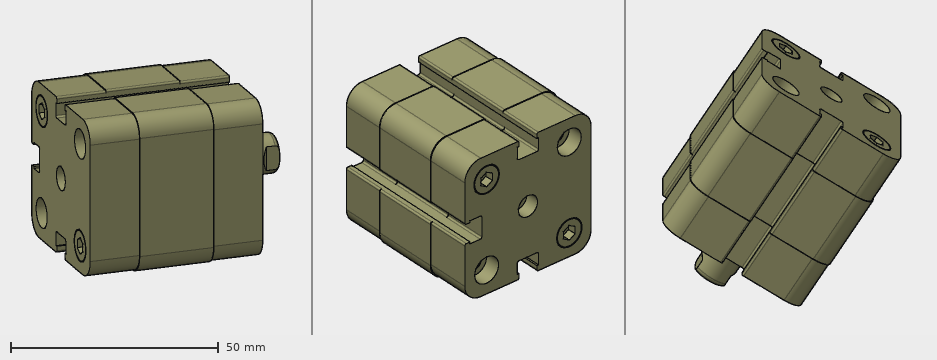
import cadquery as cq

TOTAL_LENGTH = 55.0
BODY_LENGTH = 44.55
CAP_LENGTH = 12.7
BARREL_LENGTH = BODY_LENGTH - 2 * CAP_LENGTH

BARREL_SIDE = 40.1
CAP_INSET = 0.2
CAP_SIDE = BARREL_SIDE - 2 * CAP_INSET
CORNER_RADIUS = 5.0

SLOT_MOUTH_WIDTH = 5.55
SLOT_INNER_WIDTH = 6.6
CAP_SLOT_DEPTH = 5.55
BARREL_SLOT_DEPTH = 5.65
LIP_THICKNESS = 1.85
LIP_RADIUS = 0.5
SLOT_FLOOR_RADIUS = 0.5
SLOT_ANGLES = (0, 90, 180)

BOLT_OFFSET = 13.0
COUNTERBORE_DIAMETER = 7.5
COUNTERBORE_DEPTH = 4.5
THROUGH_DIAMETER = 4.1
SCREW_HEAD_DIAMETER = 7.5
SCREW_RECESS_DIAMETER = 8.0
SCREW_RECESS_DEPTH = 4.0
HEX_SIDES = 6
HEX_CORNER_DIAMETER = 4.2
HEX_DEPTH = 2.5
HEX_TURN = 30
CENTRE_HOLE_DIAMETER = 6.0
CENTRE_HOLE_DEPTH = 4.0

ROD_DIAMETER = 10.0
ROD_LENGTH = TOTAL_LENGTH - BODY_LENGTH
ROD_TIP_RADIUS = 1.25
FLATS_WIDTH = 8.0
FLATS_LENGTH = 3.5


def plane_at(y):
    """XZ workplane at the given Y; a negative extrusion runs toward +Y."""
    return cq.Workplane("XZ", origin=(0, y, 0))


def slot_cutter(side, depth, y_start, length):
    """T-slot void in the top side of a section, with its mouth rounded outward."""
    top = side / 2
    floor = BARREL_SIDE / 2 - depth
    lip = BARREL_SIDE / 2 - LIP_THICKNESS
    half_mouth = SLOT_MOUTH_WIDTH / 2
    wide_part = (
        plane_at(y_start)
        .center(0, (floor + lip) / 2)
        .rect(SLOT_INNER_WIDTH, lip - floor)
        .extrude(-length)
        .edges("|Y and <Z")
        .fillet(SLOT_FLOOR_RADIUS)
    )
    mouth = (
        plane_at(y_start)
        .moveTo(-half_mouth, lip)
        .lineTo(half_mouth, lip)
        .lineTo(half_mouth, top - LIP_RADIUS)
        .radiusArc((half_mouth + LIP_RADIUS, top), LIP_RADIUS)
        .lineTo(-half_mouth - LIP_RADIUS, top)
        .radiusArc((-half_mouth, top - LIP_RADIUS), LIP_RADIUS)
        .close()
        .extrude(-length)
    )
    return wide_part.union(mouth)


def body_section(side, slot_depth, y_start, length):
    """Rounded square block with a T-slot in each slotted side."""
    block = plane_at(y_start).rect(side, side).extrude(-length).edges("|Y").fillet(CORNER_RADIUS)
    slot = slot_cutter(side, slot_depth, y_start, length)
    for angle in SLOT_ANGLES:
        block = block.cut(slot.rotate((0, 0, 0), (0, -1, 0), angle))
    return block


def piston_rod():
    """Rod with a rounded tip and two wrench flats that run out at 45 degrees."""
    rod = (
        plane_at(BODY_LENGTH)
        .circle(ROD_DIAMETER / 2)
        .extrude(-ROD_LENGTH)
        .faces(">Y")
        .edges()
        .fillet(ROD_TIP_RADIUS)
    )
    half_width = FLATS_WIDTH / 2
    flats_start = TOTAL_LENGTH - FLATS_LENGTH
    run_out = ROD_DIAMETER / 2 - half_width
    flat_cutter = (
        cq.Workplane("XY")
        .moveTo(half_width, TOTAL_LENGTH)
        .lineTo(half_width, flats_start)
        .lineTo(half_width + run_out, flats_start - run_out)
        .lineTo(half_width + run_out, TOTAL_LENGTH)
        .close()
        .extrude(ROD_DIAMETER / 2, both=True)
    )
    return rod.cut(flat_cutter).cut(flat_cutter.mirror("YZ"))


def front_holes(points, diameter, depth):
    """Round holes of the given depth, sunk from the front face."""
    return plane_at(0).pushPoints(points).circle(diameter / 2).extrude(-depth)


def screw_cuts(points):
    """Ring gaps around flush screw heads, plus their hexagon sockets."""
    cuts = (
        plane_at(0)
        .pushPoints(points)
        .circle(SCREW_RECESS_DIAMETER / 2)
        .circle(SCREW_HEAD_DIAMETER / 2)
        .extrude(-SCREW_RECESS_DEPTH)
    )
    for x, z in points:
        socket = (
            plane_at(0)
            .polygon(HEX_SIDES, HEX_CORNER_DIAMETER)
            .extrude(-HEX_DEPTH)
            .rotate((0, 0, 0), (0, 1, 0), HEX_TURN)
            .translate((x, 0, z))
        )
        cuts = cuts.union(socket)
    return cuts


body = (
    body_section(CAP_SIDE, CAP_SLOT_DEPTH, 0, CAP_LENGTH)
    .union(body_section(BARREL_SIDE, BARREL_SLOT_DEPTH, CAP_LENGTH, BARREL_LENGTH))
    .union(body_section(CAP_SIDE, CAP_SLOT_DEPTH, CAP_LENGTH + BARREL_LENGTH, CAP_LENGTH))
)

open_bolt_holes = [(-BOLT_OFFSET, -BOLT_OFFSET), (BOLT_OFFSET, BOLT_OFFSET)]
screws = [(-BOLT_OFFSET, BOLT_OFFSET), (BOLT_OFFSET, -BOLT_OFFSET)]

result = (
    body.union(piston_rod())
    .cut(front_holes(open_bolt_holes, THROUGH_DIAMETER, BODY_LENGTH))
    .cut(front_holes(open_bolt_holes, COUNTERBORE_DIAMETER, COUNTERBORE_DEPTH))
    .cut(front_holes([(0, 0)], CENTRE_HOLE_DIAMETER, CENTRE_HOLE_DEPTH))
    .cut(screw_cuts(screws))
)